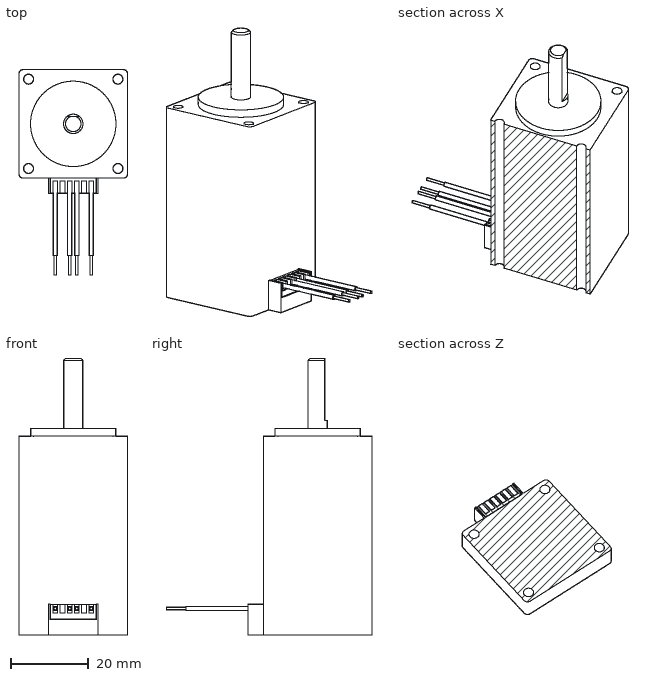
import cadquery as cq

FRAME_WIDTH = 28.0
FRAME_HEIGHT = 51.3
CAP_HEIGHT = 8.0
CORNER_RADIUS = 1.1
FRONT_FACE = -FRAME_WIDTH / 2

SCREW_SPACING = 23.0
SCREW_DIAMETER = 2.5

BOSS_DIAMETER = 22.0
BOSS_HEIGHT = 2.0
SHAFT_DIAMETER = 5.0
SHAFT_TOP = 71.3
SHAFT_CHAMFER = 0.5
FLAT_LENGTH = 16.0
FLAT_DEPTH = 0.65

SOCKET_WIDTH = 12.8
SOCKET_DEPTH = 4.0
POCKET_FLOOR = 4.0

PLUG_CLEARANCE = 0.15
PLUG_WIDTH = 11.7
PLUG_DEPTH = SOCKET_DEPTH - PLUG_CLEARANCE
PLUG_BOTTOM = POCKET_FLOOR + PLUG_CLEARANCE
PLUG_TOP = CAP_HEIGHT - PLUG_CLEARANCE
POCKET_WIDTH = PLUG_WIDTH + 2 * PLUG_CLEARANCE

SLOT_COUNT = 6
SLOT_PITCH = 1.85
SLOT_WIDTH = 1.2
SLOT_FLOOR = 5.6
SLOT_BACK_WALL = 0.8

WIRED_SLOTS = (0, 2, 3, 5)
WIRE_HEIGHT = 6.85
WIRE_DIAMETER = 1.15
WIRE_REACH = 24.95
CONDUCTOR_DIAMETER = 0.7
CONDUCTOR_LENGTH = 5.0


def block(width, depth, bottom, top):
    """Block standing on the front face of the frame and reaching forward by depth."""
    return cq.Workplane("XY", origin=(0, FRONT_FACE - depth / 2, bottom)).box(
        width, depth, top - bottom, centered=(True, True, False)
    )


def frame_section(bottom, top):
    """Length of the square frame with rounded corners and four screw holes."""
    return (
        cq.Workplane("XY", origin=(0, 0, bottom))
        .rect(FRAME_WIDTH, FRAME_WIDTH)
        .extrude(top - bottom)
        .edges("|Z")
        .fillet(CORNER_RADIUS)
        .faces(">Z")
        .workplane()
        .rect(SCREW_SPACING, SCREW_SPACING, forConstruction=True)
        .vertices()
        .hole(SCREW_DIAMETER)
    )


def make_shaft():
    """Shaft with a chamfered tip and a flat on its +Y side."""
    shaft = (
        cq.Workplane("XY", origin=(0, 0, FRAME_HEIGHT))
        .circle(SHAFT_DIAMETER / 2)
        .extrude(SHAFT_TOP - FRAME_HEIGHT)
        .faces(">Z")
        .chamfer(SHAFT_CHAMFER)
    )
    flat_y = SHAFT_DIAMETER / 2 - FLAT_DEPTH
    flat_cut = cq.Workplane("XY", origin=(0, flat_y, SHAFT_TOP - FLAT_LENGTH)).box(
        SHAFT_DIAMETER, SHAFT_DIAMETER, FLAT_LENGTH, centered=(True, False, False)
    )
    return shaft.cut(flat_cut)


def make_motor():
    """Frame of rear cap, stator and front cap, with boss, shaft and plug socket."""
    stator_top = FRAME_HEIGHT - CAP_HEIGHT
    socket = block(SOCKET_WIDTH, SOCKET_DEPTH, 0, CAP_HEIGHT)
    pocket = block(POCKET_WIDTH, SOCKET_DEPTH, POCKET_FLOOR, CAP_HEIGHT)
    boss = cq.Workplane("XY", origin=(0, 0, FRAME_HEIGHT)).circle(BOSS_DIAMETER / 2).extrude(BOSS_HEIGHT)
    return (
        frame_section(0, CAP_HEIGHT)
        .union(socket.cut(pocket))
        .union(frame_section(CAP_HEIGHT, stator_top), clean=False)
        .union(frame_section(stator_top, FRAME_HEIGHT), clean=False)
        .union(boss, clean=False)
        .union(make_shaft(), clean=False)
    )


def make_wire(x, start_y):
    """Insulated wire with a bare conductor at its free end."""
    end_y = FRONT_FACE - WIRE_REACH
    insulation_end_y = end_y + CONDUCTOR_LENGTH
    insulation = (
        cq.Workplane("XZ", origin=(x, start_y, WIRE_HEIGHT))
        .circle(WIRE_DIAMETER / 2)
        .extrude(start_y - insulation_end_y)
    )
    conductor = (
        cq.Workplane("XZ", origin=(x, insulation_end_y, WIRE_HEIGHT))
        .circle(CONDUCTOR_DIAMETER / 2)
        .extrude(CONDUCTOR_LENGTH)
    )
    return insulation.union(conductor)


def make_plug():
    """Slotted plug with its four wires."""
    plug = block(PLUG_WIDTH, PLUG_DEPTH, PLUG_BOTTOM, PLUG_TOP)
    slot_back_y = FRONT_FACE - SLOT_BACK_WALL
    slot_depth = PLUG_DEPTH - SLOT_BACK_WALL
    slot_places = [(i - (SLOT_COUNT - 1) / 2) * SLOT_PITCH for i in range(SLOT_COUNT)]
    for x in slot_places:
        slot = cq.Workplane("XY", origin=(x, slot_back_y - slot_depth / 2, SLOT_FLOOR)).box(
            SLOT_WIDTH, slot_depth, PLUG_TOP - SLOT_FLOOR, centered=(True, True, False)
        )
        plug = plug.cut(slot)
    for i in WIRED_SLOTS:
        plug = plug.union(make_wire(slot_places[i], slot_back_y))
    return plug


motor = make_motor()
plug = make_plug()

result = cq.Compound.makeCompound([motor.val(), plug.val()])